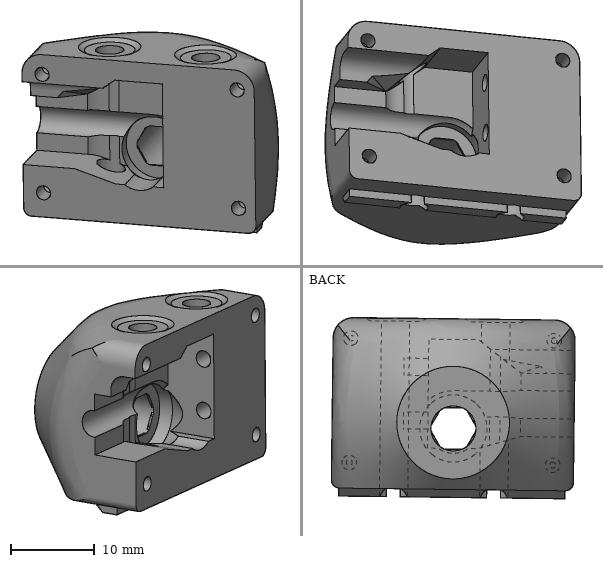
import cadquery as cq
import math

TILT_ANGLE = 0.7

BODY_WIDTH = 29.0
BODY_DEPTH = 19.25
BODY_HEIGHT = 20.45
TOP_CORNER_RADIUS = 2.5
BOTTOM_CORNER_RADIUS = 1.0
REAR_RADIUS = 6.75
REAR_CENTRE_X = BODY_WIDTH / 2
REAR_CENTRE_Z = 8.0
REAR_BLEND_RADIUS = 6.0
BLANK_DROP = 5.85

FEET_X_RANGES = [(1.02, 8.73), (10.37, 20.75), (22.37, 28.1)]
FOOT_FRONT_Y = 3.4
FOOT_TIP_LENGTH = 2.02
FOOT_HEIGHT = 0.95

BORE_XS = [9.52, 21.53]
BORE_Y = 4.95
BORE_RADIUS = 1.7
SEAT_OUTER_RADIUS = 3.75
SEAT_INNER_RADIUS = 3.05
SEAT_DEPTH = 0.38

POCKET_DEPTH = 6.5
POCKET_LEFT = 11.57
POCKET_RIGHT = 17.53
POCKET_BOTTOM = 4.9
POCKET_TOP = 17.95

CHANNEL_DEPTH = 5.78
CHANNEL_BOTTOM = 6.43
CHANNEL_END = 6.43
RAMP_END = 8.1

SHELF_DEPTH = 3.48
SHELF_BOTTOM = 14.02
SHELF_TOP = 16.82
SHELF_END = 10.1
SHELF_CORNER_RADIUS = 1.95
LEDGE_LOW_END = 3.35
LEDGE_HIGH_END = 4.1

AXIS_X = 14.45
AXIS_Z = 7.3
NOTCH_RADIUS = 2.98
NOTCH_DEPTH = 4.3
RECESS_RADIUS = 4.03
RECESS_DEPTH = 8.32
GROOVE_RADIUS = 1.66
GROOVE_Y = 5.9
GROOVE_Z = AXIS_Z + NOTCH_RADIUS
GROOVE_SWEEP = 270
HEX_ACROSS_FLATS = 4.95
HEX_LIP_LENGTH = 0.3
REAR_BORE_RADIUS = 2.7

SCREW_XS = [2.5, 26.87]
SCREW_ZS = [3.07, 17.95]
SCREW_RADIUS = 0.88
SCREW_TIP_RADIUS = 0.35
SCREW_DEPTH = 2.92
SIDE_HOLE_ZS = [8.2, 14.63]
SIDE_HOLE_Y = 1.45
SIDE_HOLE_RADIUS = 1.02
SIDE_HOLE_DEPTH = 2.92


def revolved(profile, x, z):
    """Solid of revolution about the line along Y through (x, z); profile holds (radius, y) points."""
    solid = cq.Workplane("XY").polyline(profile).close().revolve(360, (0, 0), (0, 1))
    return solid.translate((x, 0, z))


def block(x_range, y_range, z_range):
    """Axis-aligned box between the given limits."""
    sizes = [high - low for low, high in (x_range, y_range, z_range)]
    return cq.Workplane("XY").box(*sizes, centered=False).translate((x_range[0], y_range[0], z_range[0]))


def cylinder(start, direction, radius, length):
    """Cylinder from a start point along a unit direction."""
    return cq.Workplane(cq.Solid.makeCylinder(radius, length, cq.Vector(*start), cq.Vector(*direction)))


def make_body():
    """Block with corners rounded along Y, tapered to a flat round rear face."""
    blank = block((0, BODY_WIDTH), (0, BODY_DEPTH), (-BLANK_DROP, BODY_HEIGHT))
    cone = revolved(
        [(0, 0), (REAR_RADIUS + BODY_DEPTH, 0), (REAR_RADIUS, BODY_DEPTH), (0, BODY_DEPTH)],
        REAR_CENTRE_X, REAR_CENTRE_Z)
    body = blank.intersect(cone)
    body = body.edges("%HYPERBOLA").fillet(REAR_BLEND_RADIUS)

    outline = block((0, BODY_WIDTH), (0, BODY_DEPTH), (0, BODY_HEIGHT))
    outline = outline.edges("|Y and >Z").fillet(TOP_CORNER_RADIUS)
    outline = outline.edges("|Y and <Z").fillet(BOTTOM_CORNER_RADIUS)
    return body.intersect(outline)


def make_feet():
    """Feet with an upright front and a 45 degree rear side, rooted slightly inside the base."""
    root = 0.3
    tip_rear_y = FOOT_FRONT_Y + FOOT_TIP_LENGTH
    profile = [
        (FOOT_FRONT_Y, root),
        (FOOT_FRONT_Y, -FOOT_HEIGHT),
        (tip_rear_y, -FOOT_HEIGHT),
        (tip_rear_y + FOOT_HEIGHT + root, root),
    ]
    feet = cq.Workplane("YZ")
    for left, right in FEET_X_RANGES:
        foot = cq.Workplane("YZ").polyline(profile).close().extrude(right - left)
        feet = feet.add(foot.translate((left, 0, 0)))
    return feet.combine()


def make_bores():
    """Vertical through bores, each with a dished seat in the top face."""
    bores = cq.Workplane("XY")
    for x in BORE_XS:
        bore = cylinder((x, BORE_Y, -2 * FOOT_HEIGHT), (0, 0, 1), BORE_RADIUS, 2 * BODY_HEIGHT)
        seat = cq.Workplane(cq.Solid.makeCone(
            SEAT_INNER_RADIUS, SEAT_OUTER_RADIUS, SEAT_DEPTH, cq.Vector(x, BORE_Y, BODY_HEIGHT - SEAT_DEPTH)))
        bores = bores.add(bore).add(seat)
    return bores.combine()


def make_pocket():
    """Front pocket whose floor ramps up into a shallower channel open at the left side."""
    outline = [
        (0, CHANNEL_BOTTOM),
        (CHANNEL_END, CHANNEL_BOTTOM),
        (POCKET_LEFT, POCKET_BOTTOM),
        (POCKET_RIGHT, POCKET_BOTTOM),
        (POCKET_RIGHT, POCKET_TOP),
        (POCKET_LEFT, POCKET_TOP),
        (SHELF_END, SHELF_TOP),
        (CHANNEL_END, SHELF_BOTTOM),
        (0, SHELF_BOTTOM),
    ]
    prism = cq.Workplane("XZ").polyline(outline).close().extrude(-POCKET_DEPTH)

    ramp_length = RAMP_END - CHANNEL_END
    depth_profile = (
        cq.Workplane("XY")
        .moveTo(0, 0)
        .lineTo(POCKET_RIGHT, 0)
        .lineTo(POCKET_RIGHT, POCKET_DEPTH)
        .lineTo(RAMP_END, POCKET_DEPTH)
        .tangentArcPoint((-ramp_length, CHANNEL_DEPTH - POCKET_DEPTH))
        .lineTo(0, CHANNEL_DEPTH)
        .close()
        .extrude(BODY_HEIGHT)
    )
    return prism.intersect(depth_profile)


def make_shelf():
    """Shallow step above the channel with one rounded inner corner."""
    shelf = block((0, SHELF_END), (0, SHELF_DEPTH), (SHELF_BOTTOM, SHELF_TOP))
    return shelf.edges("|X and >Y and >Z").fillet(SHELF_CORNER_RADIUS)


def make_shelf_ramp():
    """Faceted run-out from the end of the shelf ledge down to the floor of the channel."""
    ledge_low = (LEDGE_LOW_END, SHELF_DEPTH, SHELF_BOTTOM)
    ledge_high = (LEDGE_HIGH_END, SHELF_DEPTH, SHELF_TOP - SHELF_CORNER_RADIUS)
    roof_end = (SHELF_END, SHELF_DEPTH - SHELF_CORNER_RADIUS, SHELF_TOP)
    floor_corner = (CHANNEL_END, CHANNEL_DEPTH, SHELF_BOTTOM)
    shelf_corner = (CHANNEL_END, SHELF_DEPTH, SHELF_BOTTOM)
    triangles = [
        (ledge_low, ledge_high, floor_corner),
        (ledge_high, roof_end, floor_corner),
        (ledge_low, floor_corner, shelf_corner),
        (roof_end, shelf_corner, floor_corner),
        (ledge_low, shelf_corner, ledge_high),
        (ledge_high, shelf_corner, roof_end),
    ]
    faces = []
    for corners in triangles:
        wire = cq.Wire.makePolygon([cq.Vector(*corner) for corner in corners], close=True)
        faces.append(cq.Face.makeFromWires(wire))
    return cq.Workplane(cq.Solid.makeSolid(cq.Shell.makeShell(faces)))


def make_round_recess():
    """Round recess that widens with depth, then a bore through the rear with a hexagonal lip."""
    recess = revolved(
        [
            (0, 0),
            (NOTCH_RADIUS, 0),
            (NOTCH_RADIUS, NOTCH_DEPTH),
            (RECESS_RADIUS, POCKET_DEPTH),
            (RECESS_RADIUS, RECESS_DEPTH),
            (0, RECESS_DEPTH),
        ],
        AXIS_X, AXIS_Z)
    across_corners = HEX_ACROSS_FLATS / math.cos(math.pi / 6)
    rear_bore = cylinder((AXIS_X, 0, AXIS_Z), (0, 1, 0), REAR_BORE_RADIUS, BODY_DEPTH)
    lip_end = RECESS_DEPTH + HEX_LIP_LENGTH
    hexagon = cq.Workplane("XZ").polygon(6, across_corners).extrude(-lip_end).translate((AXIS_X, 0, AXIS_Z))
    lip_bore = rear_bore.intersect(hexagon)
    rear_bore = rear_bore.intersect(block((0, BODY_WIDTH), (lip_end, BODY_DEPTH), (0, BODY_HEIGHT)))
    return recess.union(lip_bore).union(rear_bore)


def make_groove():
    """Round groove from the left side that wraps around the recess, kept inside the pocket."""
    straight = cylinder((0, GROOVE_Y, GROOVE_Z), (1, 0, 0), GROOVE_RADIUS, AXIS_X)
    ring = (
        cq.Workplane("XY")
        .center(NOTCH_RADIUS, GROOVE_Y)
        .circle(GROOVE_RADIUS)
        .revolve(GROOVE_SWEEP, (-NOTCH_RADIUS, 0), (-NOTCH_RADIUS, -1))
        .translate((AXIS_X, 0, AXIS_Z))
    )
    pocket_zone = block((0, POCKET_RIGHT), (0, BODY_DEPTH), (POCKET_BOTTOM, BODY_HEIGHT))
    return straight.union(ring.intersect(pocket_zone))


def make_blind_holes():
    """Corner screw holes with conical tips, and plain holes in the right wall of the pocket."""
    tip_length = SCREW_RADIUS - SCREW_TIP_RADIUS
    screw_profile = [
        (0, 0),
        (SCREW_RADIUS, 0),
        (SCREW_RADIUS, SCREW_DEPTH),
        (SCREW_TIP_RADIUS, SCREW_DEPTH + tip_length),
        (0, SCREW_DEPTH + tip_length),
    ]
    holes = cq.Workplane("XY")
    for x in SCREW_XS:
        for z in SCREW_ZS:
            holes = holes.add(revolved(screw_profile, x, z))
    for z in SIDE_HOLE_ZS:
        holes = holes.add(
            cylinder((POCKET_RIGHT, SIDE_HOLE_Y, z), (1, 0, 0), SIDE_HOLE_RADIUS, SIDE_HOLE_DEPTH))
    return holes.combine()


part = make_body().union(make_feet())
for cutter in (
    make_bores(),
    make_pocket(),
    make_shelf(),
    make_shelf_ramp(),
    make_round_recess(),
    make_groove(),
    make_blind_holes(),
):
    part = part.cut(cutter)

result = part.rotate((0, 0, 0), (0, 1, 0), -TILT_ANGLE)